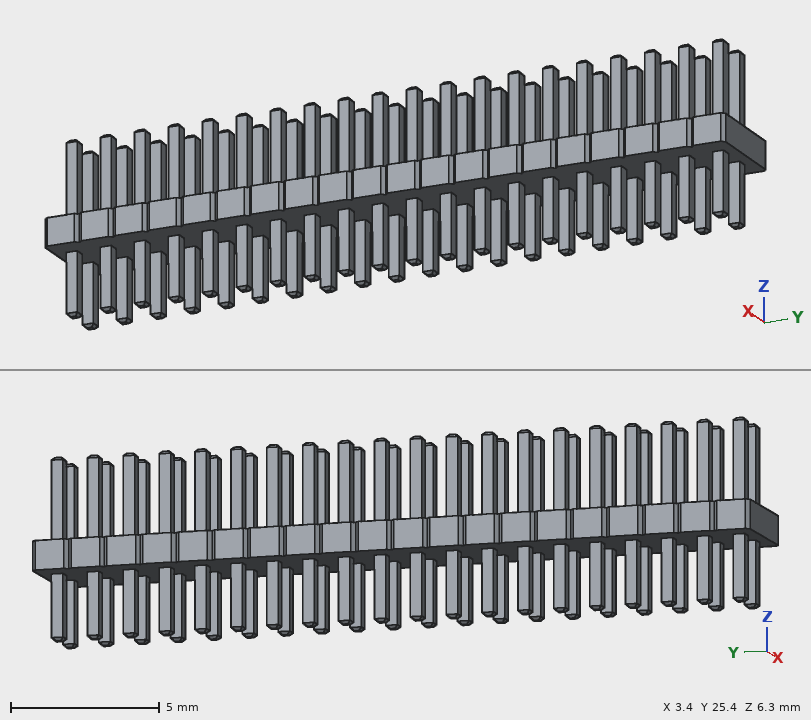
import cadquery as cq

pins_per_row = 20
pitch = 1.27
row_spacing = 1.27

body_width = 3.4
body_height = 1.02
corner = 0.13

pin_side = 0.4
pin_total = 6.3
pin_below = 2.29
tip_height = 0.1
tip_side = 0.2

body_length = pins_per_row * pitch
pin_shaft = pin_total - 2 * tip_height
pin_y_positions = [(i + 0.5) * pitch - body_length / 2 for i in range(pins_per_row)]
pin_x_positions = [-row_spacing / 2, row_spacing / 2]


def make_body():
    """Row of chamfered segments, which leaves V grooves between neighbours."""
    half_width = body_width / 2
    right_edge = []
    for y in pin_y_positions:
        right_edge += [
            (half_width - corner, y - pitch / 2),
            (half_width, y - pitch / 2 + corner),
            (half_width, y + pitch / 2 - corner),
        ]
    right_edge.append((half_width - corner, body_length / 2))
    left_edge = [(-x, y) for x, y in reversed(right_edge)]
    return cq.Workplane("XY").polyline(right_edge + left_edge).close().extrude(body_height)


def make_pin():
    """Square pin on the Z axis, tapered at both ends."""
    start = cq.Workplane("XY").workplane(offset=tip_height - pin_below)
    shaft = start.rect(pin_side, pin_side).extrude(pin_shaft)
    pin = shaft
    for face in (">Z", "<Z"):
        tip = (
            shaft.faces(face).workplane()
            .rect(pin_side, pin_side)
            .workplane(offset=tip_height)
            .rect(tip_side, tip_side)
            .loft(combine=False)
        )
        pin = pin.union(tip)
    return pin


pin = make_pin().val()
pins = [pin.translate(cq.Vector(x, y, 0)) for x in pin_x_positions for y in pin_y_positions]
result = cq.Workplane("XY").newObject([make_body().val().fuse(*pins)])